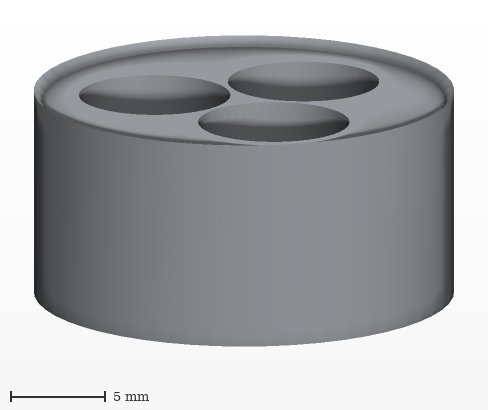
import cadquery as cq

body_diameter = 22.2
body_height = 11.0
recess_floor_diameter = 21.2
recess_depth = 0.5
bore_diameter = 8.0
bore_count = 3
bore_circle_radius = 4.8
first_bore_angle = 90.0


def make_body():
    """Round body standing on the XY plane."""
    return cq.Workplane("XY").circle(body_diameter / 2).extrude(body_height)


def make_top_recess():
    """Shallow cone that dishes the top face, leaving a sharp outer rim."""
    return (
        cq.Workplane("XY")
        .workplane(offset=body_height - recess_depth)
        .circle(recess_floor_diameter / 2)
        .workplane(offset=recess_depth)
        .circle(body_diameter / 2)
        .loft(ruled=True)
    )


def make_bores():
    """Through bores evenly spaced around the body axis."""
    return (
        cq.Workplane("XY")
        .polarArray(bore_circle_radius, first_bore_angle, 360, bore_count)
        .circle(bore_diameter / 2)
        .extrude(body_height)
    )


result = make_body().cut(make_top_recess()).cut(make_bores())